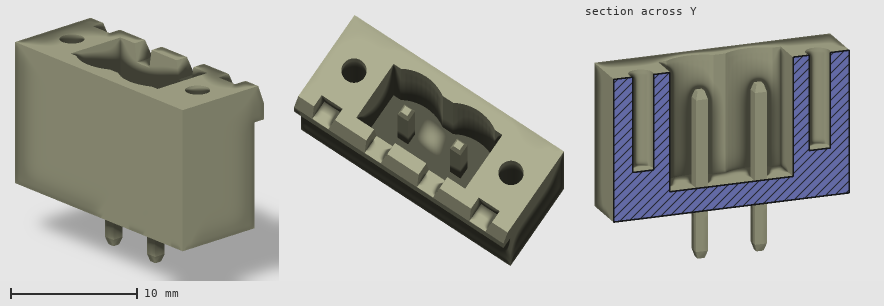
import cadquery as cq

length = 20.0
body_depth = 7.6
height = 12.0
pitch = 5.0
axis_y = 3.8

lip_overhang = 1.0
lip_height = 3.0
lip_bevel_run = 0.6
lip_bevel_drop = 1.6
rear_y = body_depth + lip_overhang

cavity_length = 10.4
cavity_front_y = 1.6
cavity_rear_y = 6.9
floor_thickness = 2.0
scallop_width = 4.0
scallop_depth = 0.58

notch_top_width = 2.0
notch_floor_width = 1.52
notch_depth = 1.55

hole_diameter = 2.0
hole_depth = 8.0
hole_x = 1.5 * pitch

pin_width = 1.0
pin_tip_width = 0.6
pin_taper = 0.65
pin_bottom_z = -4.0
pin_top_z = 10.0

pin_positions = (-pitch / 2, pitch / 2)
notch_positions = (-hole_x, *pin_positions, hole_x)


def make_housing():
    """Side profile with the bevelled lip, extruded along X."""
    return (
        cq.Workplane("YZ")
        .polyline([
            (0, 0),
            (body_depth, 0),
            (body_depth, height - lip_height),
            (rear_y, height - lip_height),
            (rear_y, height - lip_bevel_drop),
            (rear_y - lip_bevel_run, height),
            (0, height),
        ])
        .close()
        .extrude(length / 2, both=True)
    )


def make_cavity():
    """Open-topped pocket with a shallow arc in its front wall at each pin."""
    outline = cq.Workplane("XY", origin=(0, 0, floor_thickness)).moveTo(-cavity_length / 2, cavity_front_y)
    for x in pin_positions:
        outline = outline.lineTo(x - scallop_width / 2, cavity_front_y).threePointArc(
            (x, cavity_front_y - scallop_depth),
            (x + scallop_width / 2, cavity_front_y),
        )
    return (
        outline.lineTo(cavity_length / 2, cavity_front_y)
        .lineTo(cavity_length / 2, cavity_rear_y)
        .lineTo(-cavity_length / 2, cavity_rear_y)
        .close()
        .extrude(height - floor_thickness)
    )


def make_notch(x):
    """Slot with sloping sides, from the cavity rear wall out through the lip."""
    return (
        cq.Workplane("XZ", origin=(x, rear_y, height))
        .polyline([
            (-notch_top_width / 2, 0),
            (notch_top_width / 2, 0),
            (notch_floor_width / 2, -notch_depth),
            (-notch_floor_width / 2, -notch_depth),
        ])
        .close()
        .extrude(rear_y - cavity_rear_y)
    )


def make_pin(x):
    """Straight square shank with a tapered tip at each end."""
    shank_bottom_z = pin_bottom_z + pin_taper
    shank_top_z = pin_top_z - pin_taper
    pin = (
        cq.Workplane("XY", origin=(x, axis_y, shank_bottom_z))
        .rect(pin_width, pin_width)
        .extrude(shank_top_z - shank_bottom_z)
    )
    for shank_end, tip in ((shank_bottom_z, pin_bottom_z), (shank_top_z, pin_top_z)):
        taper = (
            cq.Workplane("XY", origin=(x, axis_y, shank_end))
            .rect(pin_width, pin_width)
            .workplane(offset=tip - shank_end)
            .rect(pin_tip_width, pin_tip_width)
            .loft(ruled=True)
        )
        pin = pin.union(taper)
    return pin


result = make_housing().cut(make_cavity())

for notch_x in notch_positions:
    result = result.cut(make_notch(notch_x))

screw_holes = (
    cq.Workplane("XY", origin=(0, axis_y, height))
    .pushPoints([(-hole_x, 0), (hole_x, 0)])
    .circle(hole_diameter / 2)
    .extrude(-hole_depth)
)
result = result.cut(screw_holes)

for pin_x in pin_positions:
    result = result.union(make_pin(pin_x))